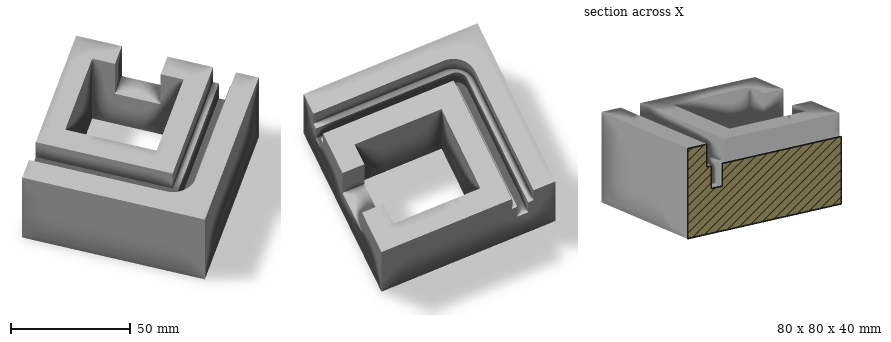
import cadquery as cq

side = 80.0
height = 40.0

wall = 10.0
window = 40.0

notch_width = 20.0
notch_depth = 20.0

channel_corner = 60.0
wide_width = 10.0
wide_depth = 10.0
narrow_width = wide_width / 2
channel_depth = 20.0
ledge_width = (wide_width - narrow_width) / 2
wide_outer_radius = wide_width
narrow_outer_radius = narrow_width
narrow_inner_radius = ledge_width

window_center_x = wall + window / 2
window_center_y = side - window_center_x
channel_corner_y = side - channel_corner


def back_left_region(offset, corner_radius, depth):
    """Back-left region reaching offset past the channel's inner corner, cut from the top."""
    edge_x = channel_corner + offset
    edge_y = channel_corner_y - offset
    region = cq.Workplane("XY", origin=(0, 0, height - depth))
    region = region.moveTo(0, side).lineTo(0, edge_y).lineTo(edge_x - corner_radius, edge_y)
    if corner_radius > 0:
        region = region.radiusArc((edge_x, edge_y + corner_radius), -corner_radius)
    return region.lineTo(edge_x, side).close().extrude(depth)


def channel_step(inner_offset, inner_radius, width, outer_radius, depth):
    """L-shaped strip of the given width with its own inner and outer corner radii."""
    outer = back_left_region(inner_offset + width, outer_radius, depth)
    return outer.cut(back_left_region(inner_offset, inner_radius, depth))


block = cq.Workplane("XY").box(side, side, height, centered=False)

window_cut = (
    cq.Workplane("XY")
    .center(window_center_x, window_center_y)
    .rect(window, window)
    .extrude(height)
)

notch_cut = (
    cq.Workplane("XY", origin=(window_center_x, side - wall / 2, height - notch_depth))
    .rect(notch_width, wall)
    .extrude(notch_depth)
)

wide_step = channel_step(0, 0, wide_width, wide_outer_radius, wide_depth)
narrow_step = channel_step(
    ledge_width, narrow_inner_radius, narrow_width, narrow_outer_radius, channel_depth
)

result = block.cut(window_cut).cut(notch_cut).cut(wide_step).cut(narrow_step)